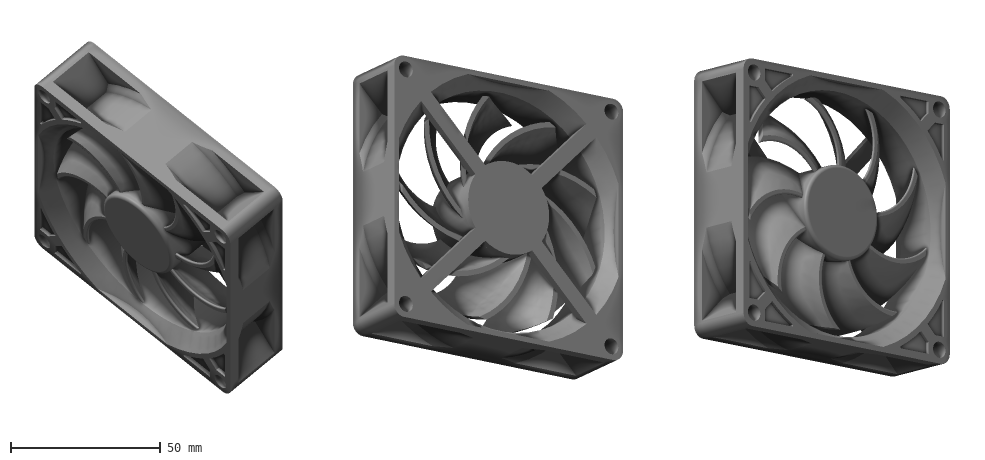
import cadquery as cq
import math


SIDE = 92.0
DEPTH = 25.0
HALF_DEPTH = DEPTH / 2
CORNER_RADIUS = 4.0
HOLE_DIAMETER = 5.5
HOLE_OFFSET = 41.3

BORE_RADIUS = 84.0 / 2
BARREL_WALL = 5.0
BARREL_RADIUS = BORE_RADIUS + BARREL_WALL
MOUTH_RADIUS = 47.1
MOUTH_DEPTH = MOUTH_RADIUS - BORE_RADIUS
MOUTH_SQUARE = 88.3
FLANGE_THICKNESS = 4.0
FLARE_LENGTH = 2.2
FLARE_RISE = 1.9

WEB_WIDTH = 6.8

RECESS_DEPTH = 1.4
RECESS_INNER_RADIUS = 49.0
RECESS_START = 24.0
RECESS_END = 36.5
RECESS_OUTER = 43.4
RECESS_RIB_WIDTH = 4.05

MOUNT_DIAMETER = 32.6
MOUNT_THICKNESS = 2.8
STRUT_WIDTH = 5.5

HUB_DIAMETER = 32.6
HUB_FRONT = -10.2
HUB_BACK = HALF_DEPTH - MOUNT_THICKNESS
HUB_ROUNDING = 1.2
BLADE_COUNT = 9
BLADE_TIP_RADIUS = 39.8
BLADE_FRONT = -8.3
BLADE_MIDDLE = 0.0
BLADE_BACK = 8.3
LEADING_WIDTH = 2.8
TRAILING_WIDTH = 1.8
MIDDLE_TURN = 0.66
LEADING_ROUNDING = 0.5
LEADING_EDGE = [(-0.3, 13.8), (-3.2, 28.8), (-17.4, 38.3)]
TRAILING_EDGE = [(13.3, 1.8), (14.6, 22.4), (3.5, 42.3)]


def cylinder(radius, front, back):
    """Solid cylinder on the fan axis between two Y positions."""
    return cq.Workplane("XZ", origin=(0, back, 0)).circle(radius).extrude(back - front)


def block(width, height, front, back):
    """Box centred on the fan axis between two Y positions."""
    return cq.Workplane("XZ", origin=(0, back, 0)).rect(width, height).extrude(back - front)


def about_axis(shape, angle):
    """Copy turned about the fan axis."""
    return shape.rotate((0, 0, 0), (0, -1, 0), angle)


def frame_blank():
    """Two flanges, the flared barrel and the diagonal webs, trimmed to the outer outline."""
    inner_face = HALF_DEPTH - FLANGE_THICKNESS
    flare_start = inner_face - FLARE_LENGTH
    blank = block(SIDE, SIDE, -HALF_DEPTH, -inner_face)
    blank = blank.union(block(SIDE, SIDE, inner_face, HALF_DEPTH))
    barrel = (
        cq.Workplane("XY")
        .moveTo(0, -inner_face)
        .lineTo(BARREL_RADIUS + FLARE_RISE, -inner_face)
        .lineTo(BARREL_RADIUS, -flare_start)
        .lineTo(BARREL_RADIUS, flare_start)
        .lineTo(BARREL_RADIUS + FLARE_RISE, inner_face)
        .lineTo(0, inner_face)
        .close()
        .revolve(360, (0, 0, 0), (0, 1, 0))
    )
    blank = blank.union(barrel)
    diagonal = SIDE * math.sqrt(2)
    web = block(diagonal, WEB_WIDTH, -HALF_DEPTH, HALF_DEPTH)
    for angle in (45, 135):
        blank = blank.union(about_axis(web, angle))
    outline = block(SIDE, SIDE, -HALF_DEPTH, HALF_DEPTH).edges("|Y").fillet(CORNER_RADIUS)
    return blank.intersect(outline)


def air_passage():
    """Straight bore with a conical mouth at each end, the mouths cut off square at the sides."""
    mouth_end = HALF_DEPTH - MOUTH_DEPTH
    passage = (
        cq.Workplane("XY")
        .moveTo(0, -HALF_DEPTH)
        .lineTo(MOUTH_RADIUS, -HALF_DEPTH)
        .lineTo(BORE_RADIUS, -mouth_end)
        .lineTo(BORE_RADIUS, mouth_end)
        .lineTo(MOUTH_RADIUS, HALF_DEPTH)
        .lineTo(0, HALF_DEPTH)
        .close()
        .revolve(360, (0, 0, 0), (0, 1, 0))
    )
    return passage.intersect(block(MOUTH_SQUARE, MOUTH_SQUARE, -HALF_DEPTH, HALF_DEPTH))


def flange_recesses():
    """Two recesses per corner, bounded by an arc around the mouth and a rib on the diagonal."""
    floor = RECESS_DEPTH - HALF_DEPTH
    length = RECESS_END - RECESS_START
    height = RECESS_OUTER - RECESS_START
    along = (RECESS_START + RECESS_END) / 2
    across = (RECESS_START + RECESS_OUTER) / 2
    beside_top = block(length, height, -HALF_DEPTH, floor).translate((along, 0, across))
    beside_side = block(height, length, -HALF_DEPTH, floor).translate((across, 0, along))
    corner = beside_top.union(beside_side)
    rib = block(SIDE * math.sqrt(2), RECESS_RIB_WIDTH, -HALF_DEPTH, floor)
    for angle in (45, 135):
        corner = corner.cut(about_axis(rib, angle))
    corner = corner.cut(cylinder(RECESS_INNER_RADIUS, -HALF_DEPTH, floor))
    return [about_axis(corner, angle) for angle in (0, 90, 180, 270)]


def motor_mount():
    """Central plate and the struts that reach the rear mouth of the barrel."""
    front = HALF_DEPTH - MOUNT_THICKNESS
    mount = cylinder(MOUNT_DIAMETER / 2, front, HALF_DEPTH)
    strut = block(2 * MOUTH_RADIUS, STRUT_WIDTH, front, HALF_DEPTH)
    for angle in (45, 135):
        mount = mount.union(about_axis(strut, angle))
    return mount


def build_frame():
    """Frame with its air passage, motor mount, corner recesses and screw holes."""
    body = frame_blank().cut(air_passage())
    body = body.union(motor_mount())
    for corner_recesses in flange_recesses():
        body = body.cut(corner_recesses)
    hole = cylinder(HOLE_DIAMETER / 2, -HALF_DEPTH, HALF_DEPTH)
    for x in (-HOLE_OFFSET, HOLE_OFFSET):
        for z in (-HOLE_OFFSET, HOLE_OFFSET):
            body = body.cut(hole.translate((x, 0, z)))
    return body


def arc_centre(points):
    """Centre of the circle through three points."""
    (x1, z1), (x2, z2), (x3, z3) = points
    twice_area = x1 * (z2 - z3) - z1 * (x2 - x3) + x2 * z3 - x3 * z2
    q1 = x1**2 + z1**2
    q2 = x2**2 + z2**2
    q3 = x3**2 + z3**2
    centre_x = (q1 * (z2 - z3) + q2 * (z3 - z1) + q3 * (z1 - z2)) / (2 * twice_area)
    centre_z = (q1 * (x3 - x2) + q2 * (x1 - x3) + q3 * (x2 - x1)) / (2 * twice_area)
    return centre_x, centre_z


def offset_arc(points, distance):
    """The three points moved away from the centre of their arc."""
    centre_x, centre_z = arc_centre(points)
    radius = math.hypot(points[0][0] - centre_x, points[0][1] - centre_z)
    ratio = 1 + distance / radius
    return [(centre_x + (x - centre_x) * ratio, centre_z + (z - centre_z) * ratio) for x, z in points]


def edge_profile(centre_line, width, y):
    """Curved strip of constant width around an arc through three points."""
    outer = offset_arc(centre_line, width / 2)
    inner = offset_arc(centre_line, -width / 2)
    return (
        cq.Workplane("XZ", origin=(0, y, 0))
        .moveTo(*outer[0])
        .threePointArc(outer[1], outer[2])
        .lineTo(*inner[2])
        .threePointArc(inner[1], inner[0])
        .close()
        .wire()
        .val()
    )


def build_blade():
    """Blade that turns less and less towards its trailing edge, with a rounded leading edge."""
    middle_line = [
        (x1 + (x2 - x1) * MIDDLE_TURN, z1 + (z2 - z1) * MIDDLE_TURN)
        for (x1, z1), (x2, z2) in zip(LEADING_EDGE, TRAILING_EDGE)
    ]
    profiles = [
        edge_profile(LEADING_EDGE, LEADING_WIDTH, BLADE_FRONT),
        edge_profile(middle_line, TRAILING_WIDTH, BLADE_MIDDLE),
        edge_profile(TRAILING_EDGE, TRAILING_WIDTH, BLADE_BACK),
    ]
    blade = cq.Workplane(cq.Solid.makeLoft(profiles))
    mid_x, mid_z = LEADING_EDGE[1]
    inside_arc = (mid_x - LEADING_WIDTH, BLADE_FRONT, mid_z - LEADING_WIDTH)
    sharp_edge = cq.selectors.NearestToPointSelector(inside_arc)
    blade = blade.faces("<Y").edges(sharp_edge).fillet(LEADING_ROUNDING)
    return blade.intersect(cylinder(BLADE_TIP_RADIUS, BLADE_FRONT, BLADE_BACK))


def build_impeller():
    """Hub with a rounded front rim and evenly spaced blades."""
    body = cylinder(HUB_DIAMETER / 2, HUB_FRONT, HUB_BACK)
    body = body.faces("<Y").edges().fillet(HUB_ROUNDING)
    blade = build_blade()
    for index in range(BLADE_COUNT):
        body = body.union(about_axis(blade, index * 360 / BLADE_COUNT))
    return body


frame = build_frame()
impeller = build_impeller()
result = cq.Compound.makeCompound([frame.val(), impeller.val()])